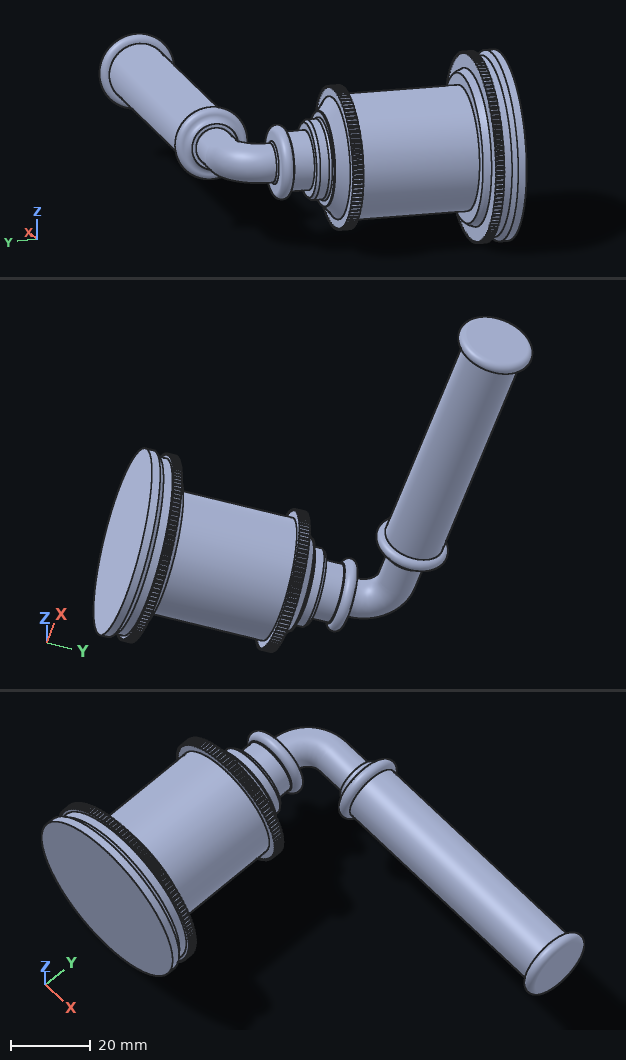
import cadquery as cq
import math

overall_length = 115.7

base_radius = 48.2 / 2
base_rim_height = 2.2
groove_start = 3.5
groove_radius = 22.9

flange_foot_radius = 20.0
flange_edge_radius = 19.5
flange_edge_height = 9.1
flange_top_radius = 19.0
flange_top = 10.0

body_radius = 31.8 / 2

lower_ring_start = 5.8
lower_ring_end = 8.0
lower_ring_teeth = 120
upper_ring_start = 40.7
upper_ring_end = 43.5
upper_ring_radius = 18.2
upper_ring_teeth = 90
tooth_depth = 0.4
tip_share = 0.3

shoulder_foot_radius = 15.5
shoulder_mid_radius = 13.5
shoulder_mid_height = 45.1
shoulder_top_radius = 12.0
shoulder_edge_height = 46.4
shoulder_top = 46.7

collar_radius = 10.2
collar_flare_radius = 10.5
collar_flare_end = 47.4
collar_bevel_start = 49.8
collar_bevel = 0.7
collar_top = 50.6

neck_radius = 15.2 / 2
neck_lip = 0.2
neck_bead_radius = 1.6
neck_bead_center = 57.6
neck_bead_bottom = neck_bead_center - neck_bead_radius
neck_bead_top = neck_bead_center + neck_bead_radius
neck_bead_root = neck_radius + neck_lip

tube_radius = 5.0
tube_foot_bevel = 0.5
handle_y = 69.3
bend_radius = 8.7
bend_start = handle_y - bend_radius

handle_start = 17.7
handle_end = overall_length - base_radius
handle_radius = 7.6
cup_radius = 6.0
handle_bead_center = 21.4
handle_bead_radius = 1.6
cup_arc_radius = 1.7
end_bead_radius = 1.6
end_bead_outer_radius = 9.7


def knob():
    """Plain turned shape from the base up to the bead on the neck."""
    profile = (
        cq.Workplane("XY")
        .lineTo(base_radius, 0)
        .lineTo(base_radius, base_rim_height)
        .lineTo(groove_radius, groove_start)
        .lineTo(groove_radius, lower_ring_end)
        .lineTo(flange_foot_radius, lower_ring_end)
        .lineTo(flange_edge_radius, flange_edge_height)
        .lineTo(flange_top_radius, flange_top)
        .lineTo(body_radius, flange_top)
        .lineTo(body_radius, upper_ring_end)
        .lineTo(shoulder_foot_radius, upper_ring_end)
        .threePointArc(
            (shoulder_mid_radius, shoulder_mid_height),
            (shoulder_top_radius, shoulder_edge_height),
        )
        .lineTo(shoulder_top_radius, shoulder_top)
        .lineTo(collar_flare_radius, shoulder_top)
        .lineTo(collar_radius, collar_flare_end)
        .lineTo(collar_radius, collar_bevel_start)
        .lineTo(collar_radius - collar_bevel, collar_top)
        .lineTo(neck_radius, collar_top)
        .lineTo(neck_radius, neck_bead_bottom - neck_lip)
        .lineTo(neck_bead_root, neck_bead_bottom)
        .threePointArc(
            (neck_bead_root + neck_bead_radius, neck_bead_center),
            (neck_bead_root, neck_bead_top),
        )
        .lineTo(tube_radius + tube_foot_bevel, neck_bead_top)
        .lineTo(tube_radius, neck_bead_top + tube_foot_bevel)
        .lineTo(tube_radius, bend_start)
        .lineTo(0, bend_start)
        .close()
    )
    return profile.revolve(360, (0, 0), (0, 1))


def knurled_ring(start, end, tip_radius, teeth):
    """Disc about Y with flat-tipped teeth parted by V grooves around its rim."""
    pitch = 2 * math.pi / teeth
    half_tip = pitch * tip_share / 2
    root_radius = tip_radius - tooth_depth
    points = []
    for tooth in range(teeth):
        tip = tooth * pitch
        for radius, angle in (
            (tip_radius, tip - half_tip),
            (tip_radius, tip + half_tip),
            (root_radius, tip + pitch / 2),
        ):
            points.append((radius * math.cos(angle), radius * math.sin(angle)))
    disc = cq.Workplane("XZ", origin=(0, start, 0)).polyline(points).close()
    return disc.extrude(start - end)


def bent_tube():
    """Quarter bend, then a straight run into the handle."""
    path = (
        cq.Workplane("XY")
        .moveTo(0, bend_start)
        .radiusArc((bend_radius, handle_y), bend_radius)
        .lineTo(handle_start, handle_y)
    )
    return cq.Workplane("XZ", origin=(0, bend_start, 0)).circle(tube_radius).sweep(path)


def handle():
    """Turned grip with a concave cup and bead at its root and a bead at its end."""
    cup_end = handle_bead_center - handle_bead_radius
    cup_top = cup_radius + cup_arc_radius
    cup_start = cup_end - cup_arc_radius
    arc_offset = cup_arc_radius * math.sqrt(0.5)
    end_bead_start = handle_end - 2 * end_bead_radius
    end_bead_root = end_bead_outer_radius - end_bead_radius
    profile = (
        cq.Workplane("XY", origin=(0, handle_y, 0))
        .moveTo(handle_start, 0)
        .lineTo(handle_start, cup_radius)
        .lineTo(cup_start, cup_radius)
        .threePointArc((cup_start + arc_offset, cup_top - arc_offset), (cup_end, cup_top))
        .threePointArc(
            (handle_bead_center, cup_top + handle_bead_radius),
            (handle_bead_center + handle_bead_radius, cup_top),
        )
        .lineTo(handle_bead_center + handle_bead_radius, handle_radius)
        .lineTo(end_bead_start, handle_radius)
        .lineTo(end_bead_start, end_bead_root)
        .threePointArc(
            (handle_end - end_bead_radius, end_bead_outer_radius),
            (handle_end, end_bead_root),
        )
        .lineTo(handle_end, 0)
        .close()
    )
    return profile.revolve(360, (0, 0), (1, 0))


lower_ring = knurled_ring(lower_ring_start, lower_ring_end, base_radius, lower_ring_teeth)
upper_ring = knurled_ring(upper_ring_start, upper_ring_end, upper_ring_radius, upper_ring_teeth)
result = knob().union(lower_ring).union(upper_ring).union(bent_tube()).union(handle())